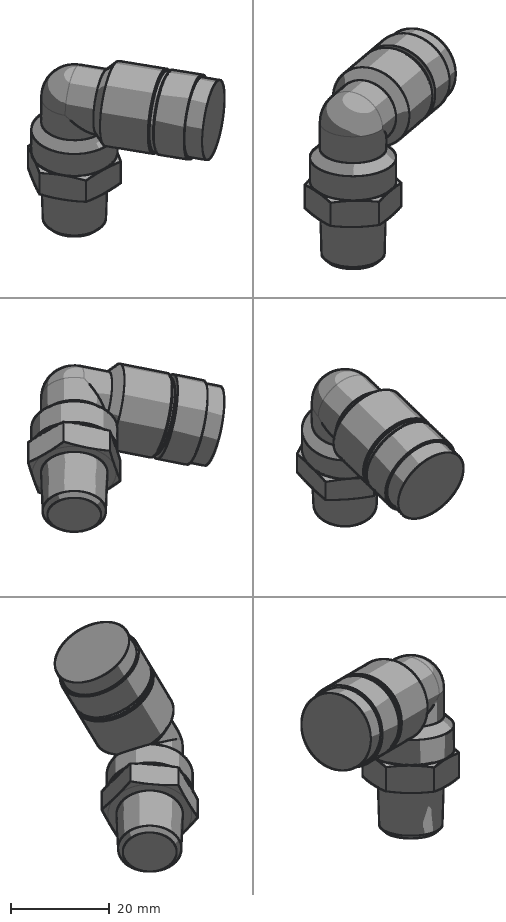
import cadquery as cq
import math

overall_height = 39.25
body_radius = 8.75
pipe_radius = 6.75
elbow_height = overall_height - body_radius

shoulder_start = 5.93
shoulder_end = shoulder_start + body_radius - pipe_radius

thread_tip_radius = 6.45
thread_root_radius = 6.75
tip_chamfer = 1.0

hex_across_corners = 19.62
hex_across_flats = hex_across_corners * math.cos(math.pi / 6)
hex_bottom = 11.0
hex_top = 16.9
hex_chamfer_angle = math.radians(15)

neck_radius = 8.35
collar_bottom = 17.15

body_end = 18.0
lip_start = 18.25
lip_end = 18.88
ring_start = 19.27
ring_end = 25.6
arm_end = 29.32
lip_radius = 8.35
lip_end_radius = 7.95
groove_radius = 7.22
sleeve_radius = 8.25


def revolve_about_z(profile):
    """Revolve (radius, height) points, closed through the Z axis."""
    points = [(0, profile[0][1])] + profile + [(0, profile[-1][1])]
    return cq.Workplane("XZ").polyline(points).close().revolve(360, (0, 0), (0, 1))


def make_hexagon():
    """Hexagon with corners on the X axis and both ends chamfered at the corners."""
    corner_radius = hex_across_corners / 2
    flat_radius = hex_across_flats / 2
    chamfer_height = (corner_radius - flat_radius) * math.tan(hex_chamfer_angle)
    prism = (
        cq.Workplane("XY")
        .workplane(offset=hex_bottom)
        .polygon(6, hex_across_corners)
        .extrude(hex_top - hex_bottom)
    )
    envelope = revolve_about_z([
        (flat_radius, hex_bottom),
        (corner_radius, hex_bottom + chamfer_height),
        (corner_radius, hex_top - chamfer_height),
        (flat_radius, hex_top),
    ])
    return prism.intersect(envelope)


def make_thread():
    return revolve_about_z([
        (thread_tip_radius - tip_chamfer, 0),
        (thread_tip_radius, tip_chamfer),
        (thread_root_radius, hex_bottom),
    ])


def make_stem():
    """Neck, swivel collar, shoulder and the upright pipe up to the elbow centre."""
    return revolve_about_z([
        (neck_radius, hex_top),
        (neck_radius, collar_bottom),
        (body_radius, collar_bottom),
        (body_radius, elbow_height - shoulder_end),
        (pipe_radius, elbow_height - shoulder_start),
        (pipe_radius, elbow_height),
    ])


def make_arm():
    """Pipe, shoulder, body, grooved lip, release ring and end sleeve."""
    upright = revolve_about_z([
        (pipe_radius, 0),
        (pipe_radius, shoulder_start),
        (body_radius, shoulder_end),
        (body_radius, body_end),
        (lip_radius, body_end),
        (lip_radius, lip_start),
        (lip_end_radius, lip_end),
        (groove_radius, lip_end),
        (groove_radius, ring_start),
        (body_radius, ring_start),
        (body_radius, ring_end),
        (sleeve_radius, ring_end),
        (sleeve_radius, arm_end),
    ])
    return upright.rotate((0, 0, 0), (0, 1, 0), 90).translate((0, 0, elbow_height))


elbow_ball = cq.Workplane("XY").sphere(pipe_radius).translate((0, 0, elbow_height))

result = (
    make_thread()
    .union(make_hexagon())
    .union(make_stem())
    .union(make_arm())
    .union(elbow_ball)
)